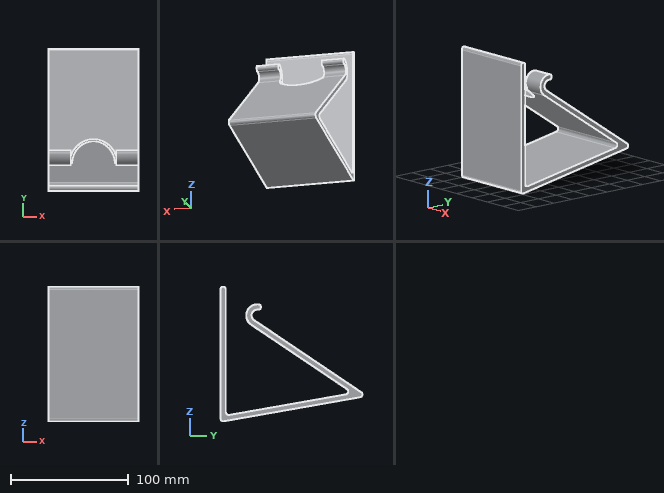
import cadquery as cq
import math

width = 76.7
depth = 120.8
height = 114.6
thickness = 4.7

tip_radius = 2.4
inner_radius = 2.4
base_angle = math.radians(10)

hook_y = 31.4
hook_z = 90.1
hook_outer_radius = 9.5
hook_inner_radius = hook_outer_radius - thickness
hook_end_angle = math.radians(84)

notch_width = width / 2
notch_back_y = 44.1
notch_back_radius = 15.5
notch_taper = math.radians(22)
notch_drop = 18.1
notch_rise = 24.2
slot_front_y = 12.1
hook_opening_y = 23.5


def meet(point_a, angle_a, point_b, angle_b):
    """Intersection of two lines, each given by a point and a direction angle."""
    dy = point_b[0] - point_a[0]
    dz = point_b[1] - point_a[1]
    turn = math.sin(angle_b - angle_a)
    distance = (dy * math.sin(angle_b) - dz * math.cos(angle_b)) / turn
    return offset(point_a, angle_a, distance)


def offset(point, angle, distance):
    """Point moved by a distance along a direction in the YZ plane."""
    return (point[0] + distance * math.cos(angle), point[1] + distance * math.sin(angle))


up = math.pi / 2
front_center = (tip_radius, tip_radius)
tip_y = depth - tip_radius
tip_center = (tip_y, tip_radius + (tip_y - tip_radius) * math.tan(base_angle))
hook_center = (hook_y, hook_z)

center_distance = math.dist(tip_center, hook_center)
center_angle = math.atan2(hook_z - tip_center[1], tip_y - hook_y)
ramp_angle = center_angle - math.asin((tip_radius + hook_inner_radius) / center_distance)
ramp_direction = math.pi - ramp_angle
ramp_normal = up - ramp_angle

base_outer = offset(front_center, base_angle - up, tip_radius)
base_inner = offset(base_outer, base_angle + up, thickness)
ramp_upper = offset(hook_center, ramp_normal + math.pi, hook_inner_radius)
ramp_lower = offset(hook_center, ramp_normal + math.pi, hook_outer_radius)

front_corner = meet((0, 0), up, base_outer, base_angle)
back_corner = meet(base_outer, base_angle, ramp_upper, ramp_direction)
front_inner_corner = meet((thickness, 0), up, base_inner, base_angle)
back_inner_corner = meet(base_inner, base_angle, ramp_lower, ramp_direction)


def make_strip():
    """Bent strip with a full-round wall top and hook end, extruded along X."""
    wall_top = height - thickness / 2
    bend_middle = math.pi
    hook_end_middle = offset(hook_center, hook_end_angle, (hook_inner_radius + hook_outer_radius) / 2)
    strip = (
        cq.Workplane("YZ", origin=(-width / 2, 0, 0))
        .moveTo(*front_corner)
        .lineTo(*back_corner)
        .lineTo(*ramp_upper)
        .threePointArc(
            offset(hook_center, bend_middle, hook_inner_radius),
            offset(hook_center, hook_end_angle, hook_inner_radius),
        )
        .threePointArc(
            offset(hook_end_middle, hook_end_angle - up, thickness / 2),
            offset(hook_center, hook_end_angle, hook_outer_radius),
        )
        .threePointArc(offset(hook_center, bend_middle, hook_outer_radius), ramp_lower)
        .lineTo(*back_inner_corner)
        .lineTo(*front_inner_corner)
        .lineTo(thickness, wall_top)
        .threePointArc((thickness / 2, height), (0, wall_top))
        .close()
        .extrude(width)
    )
    rounds = [
        (front_corner, tip_radius),
        (back_corner, tip_radius),
        (front_inner_corner, inner_radius),
        (back_inner_corner, inner_radius),
    ]
    for corner, radius in rounds:
        strip = strip.edges(cq.NearestToPointSelector((0, *corner))).fillet(radius)
    return strip


def make_notch():
    """Vertical cone that cuts the ramp, limited to the slot width and opened through the hook."""
    back_z = ramp_upper[1] - (notch_back_y - ramp_upper[0]) * math.tan(ramp_angle)
    center_y = notch_back_y - notch_back_radius
    bottom_z = back_z - notch_drop
    cutter_height = notch_drop + notch_rise
    cone_axis_point = cq.Vector(0, center_y, bottom_z)
    bottom_radius = notch_back_radius - notch_drop * math.tan(notch_taper)
    top_radius = notch_back_radius + notch_rise * math.tan(notch_taper)
    cone = cq.Solid.makeCone(bottom_radius, top_radius, cutter_height, cone_axis_point)
    slot = (
        cq.Workplane("XY", origin=(0, slot_front_y + depth / 2, bottom_z))
        .rect(notch_width, depth)
        .extrude(cutter_height)
    )
    hook_opening = (
        cq.Workplane("XY", origin=(0, (slot_front_y + hook_opening_y) / 2, bottom_z))
        .rect(notch_width, hook_opening_y - slot_front_y)
        .extrude(cutter_height)
    )
    return slot.intersect(cq.Workplane(cone)).union(hook_opening)


result = make_strip().cut(make_notch())